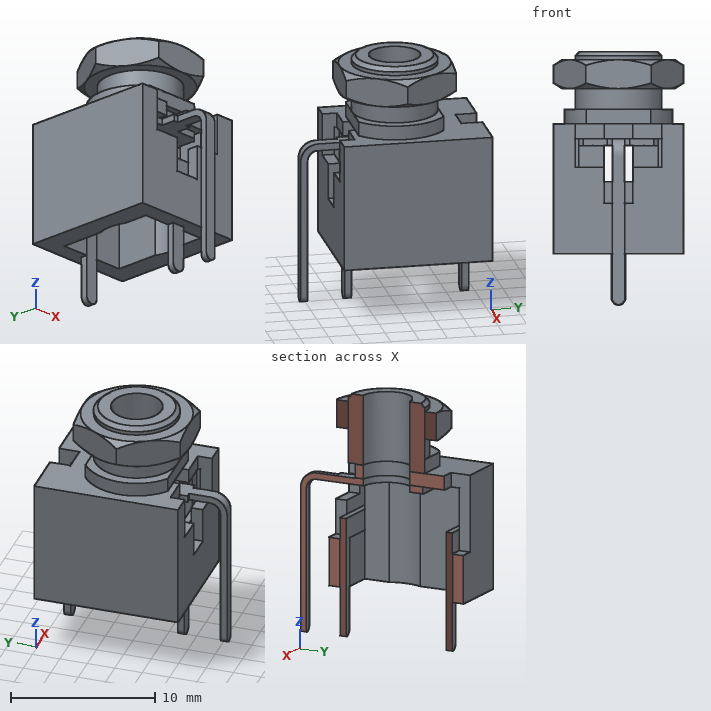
import cadquery as cq
import math


HOUSING_WIDTH = 9.0
HOUSING_LENGTH = 10.5
HOUSING_HEIGHT = 9.0
FRONT_Y = -4.5
BACK_Y = FRONT_Y + HOUSING_LENGTH
BORE_DIAMETER = 3.6
CEILING = 1.02
CAVITY_WIDTH = 5.5
WINDOW_WIDTH = 6.0
WINDOW_HEIGHT = 3.0
WINDOW_ROOF_DEPTH = 1.04
NOTCH_WIDTH = 2.0
NOTCH_HEIGHT = 5.51
FRONT_NOTCH_DEPTH = 2.02
BACK_NOTCH_DEPTH = 1.5

SHEET = 0.5
PIN_WALL = 0.86
PIN_HEAD_WIDTH = 7.5
PIN_HEAD_TOP = -4.0
PIN_WIDTH = 1.04
PIN_TIP = -12.5
CAVITY_INSET = PIN_WALL + SHEET

THREAD_DIAMETER = 6.0
BUSHING_TOP = 5.0
BUSHING_CHAMFER = 0.3
FLANGE_DIAMETER = 7.5
FLANGE_FLATS = 6.0
FLANGE_THICKNESS = 1.0

NUT_CORNERS = 9.0
NUT_FLATS = NUT_CORNERS * math.cos(math.pi / 6)
NUT_BOTTOM = 2.44
NUT_TOP = 4.44
NUT_CHAMFER_HEIGHT = 0.39

WASHER_DIAMETER = 7.5
WASHER_FLATS = 5.69
HEAD_WIDTH = 1.58
HEAD_FRONT_Y = -3.97
LEG_WIDTH = 0.86
LEG_FRONT_Y = BACK_Y - 12.72
LEG_TIP = BUSHING_TOP - 17.55
BEND_RADIUS = 1.23


def block(width, y_start, y_end, z_bottom, z_top):
    """Box centred on X = 0 between the given Y and Z limits."""
    return cq.Workplane("XY").box(
        width, y_end - y_start, z_top - z_bottom, centered=(True, False, False)
    ).translate((0, y_start, z_bottom))


def cylinder(diameter, z_bottom, z_top):
    """Cylinder on the bore axis."""
    return cq.Workplane("XY").workplane(offset=z_bottom).circle(diameter / 2).extrude(z_top - z_bottom)


def flatted_disc(diameter, flats, z_bottom, z_top):
    """Disc on the bore axis with two flats facing front and back."""
    return cylinder(diameter, z_bottom, z_top).intersect(
        block(diameter, -flats / 2, flats / 2, z_bottom, z_top)
    )


def rounded_strip(width, y_start, z_tip, z_top):
    """Upright sheet strip whose lower end is a full round."""
    radius = width / 2
    return (
        cq.Workplane("XZ", origin=(0, y_start, 0))
        .moveTo(-radius, z_top)
        .lineTo(-radius, z_tip + radius)
        .threePointArc((0, z_tip), (radius, z_tip + radius))
        .lineTo(radius, z_top)
        .close()
        .extrude(-SHEET)
    )


def make_pin(y_start):
    """T-shaped pin: a broad head inside the housing and a round-ended shank below it."""
    head = block(PIN_HEAD_WIDTH, y_start, y_start + SHEET, -NOTCH_HEIGHT, PIN_HEAD_TOP)
    return head.union(rounded_strip(PIN_WIDTH, y_start, PIN_TIP, PIN_HEAD_TOP))


def make_washer_blank():
    """Washer of the terminal before its bore is cut."""
    return flatted_disc(WASHER_DIAMETER, WASHER_FLATS, -CEILING - SHEET, -CEILING)


def make_terminal():
    """Washer, stepped tab and leg bent down outside the housing."""
    z_top = -CEILING
    z_bottom = z_top - SHEET
    bend_y = LEG_FRONT_Y + BEND_RADIUS
    bend_z = z_top - BEND_RADIUS
    inner_radius = BEND_RADIUS - SHEET
    washer = make_washer_blank().cut(cylinder(BORE_DIAMETER, z_bottom, z_top))
    washer_front_y = -WASHER_FLATS / 2
    head = block(HEAD_WIDTH, HEAD_FRONT_Y, washer_front_y, z_bottom, z_top)
    neck = block(LEG_WIDTH, bend_y, HEAD_FRONT_Y, z_bottom, z_top)
    diagonal = math.sqrt(0.5)
    bend = (
        cq.Workplane("YZ", origin=(-LEG_WIDTH / 2, 0, 0))
        .moveTo(bend_y, z_top)
        .threePointArc(
            (bend_y - BEND_RADIUS * diagonal, bend_z + BEND_RADIUS * diagonal),
            (LEG_FRONT_Y, bend_z),
        )
        .lineTo(LEG_FRONT_Y + SHEET, bend_z)
        .threePointArc(
            (bend_y - inner_radius * diagonal, bend_z + inner_radius * diagonal),
            (bend_y, z_bottom),
        )
        .close()
        .extrude(LEG_WIDTH)
    )
    leg = rounded_strip(LEG_WIDTH, LEG_FRONT_Y, LEG_TIP, bend_z)
    return washer.union(head).union(neck).union(bend).union(leg)


def make_housing(pin_starts):
    """Open-bottomed box with front window, wall notches and seats for the contacts."""
    housing = block(HOUSING_WIDTH, FRONT_Y, BACK_Y, -HOUSING_HEIGHT, 0)

    housing = housing.cut(cylinder(BORE_DIAMETER, -HOUSING_HEIGHT, 0))
    housing = housing.cut(
        block(CAVITY_WIDTH, FRONT_Y + CAVITY_INSET, BACK_Y - CAVITY_INSET, -HOUSING_HEIGHT, -CEILING)
    )
    housing = housing.cut(cylinder(THREAD_DIAMETER, -HOUSING_HEIGHT, -CEILING - SHEET))

    housing = housing.cut(make_washer_blank())

    housing = housing.cut(block(WINDOW_WIDTH, FRONT_Y, FRONT_Y + WINDOW_ROOF_DEPTH, -CEILING, 0))
    housing = housing.cut(block(WINDOW_WIDTH, FRONT_Y, FRONT_Y + PIN_WALL, -WINDOW_HEIGHT, 0))

    housing = housing.cut(block(NOTCH_WIDTH, FRONT_Y, FRONT_Y + FRONT_NOTCH_DEPTH, -NOTCH_HEIGHT, 0))
    housing = housing.cut(block(NOTCH_WIDTH, BACK_Y - BACK_NOTCH_DEPTH, BACK_Y, -NOTCH_HEIGHT, 0))

    for y_start in pin_starts:
        y_end = y_start + SHEET
        housing = housing.cut(block(PIN_HEAD_WIDTH, y_start, y_end, -NOTCH_HEIGHT, -CEILING))
        housing = housing.cut(block(PIN_WIDTH, y_start, y_end, -HOUSING_HEIGHT, -NOTCH_HEIGHT))
    return housing


def make_bushing():
    """Threaded sleeve without modelled threads, on a flange with two flats."""
    sleeve = cylinder(THREAD_DIAMETER, 0, BUSHING_TOP).faces(">Z").chamfer(BUSHING_CHAMFER)
    flange = flatted_disc(FLANGE_DIAMETER, FLANGE_FLATS, 0, FLANGE_THICKNESS)
    return sleeve.union(flange).cut(cylinder(BORE_DIAMETER, 0, BUSHING_TOP))


def make_nut():
    """Hexagon nut with its corners turned to a cone at both ends."""
    flat_radius = NUT_FLATS / 2
    corner_radius = NUT_CORNERS / 2
    hexagon = (
        cq.Workplane("XY")
        .workplane(offset=NUT_BOTTOM)
        .polygon(6, NUT_CORNERS)
        .extrude(NUT_TOP - NUT_BOTTOM)
    )
    turned_blank = (
        cq.Workplane("XZ")
        .polyline([
            (0, NUT_BOTTOM),
            (flat_radius, NUT_BOTTOM),
            (corner_radius, NUT_BOTTOM + NUT_CHAMFER_HEIGHT),
            (corner_radius, NUT_TOP - NUT_CHAMFER_HEIGHT),
            (flat_radius, NUT_TOP),
            (0, NUT_TOP),
        ])
        .close()
        .revolve(360, (0, 0, 0), (0, 1, 0))
    )
    return hexagon.intersect(turned_blank).cut(cylinder(THREAD_DIAMETER, NUT_BOTTOM, NUT_TOP))


pin_starts = [FRONT_Y + PIN_WALL, BACK_Y - CAVITY_INSET]
housing = make_housing(pin_starts)
bushing = make_bushing()
nut = make_nut()
terminal = make_terminal()
pins = []
for pin_start in pin_starts:
    pins.append(make_pin(pin_start).solids().val())

result = cq.Compound.makeCompound([
    housing.solids().val(),
    bushing.solids().val(),
    nut.solids().val(),
    terminal.solids().val(),
    *pins,
])